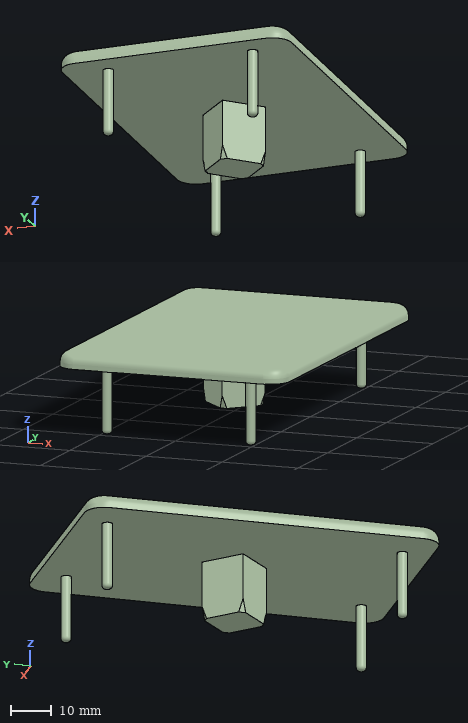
import cadquery as cq

plate_length = 90.0
plate_width = plate_length * 2 / 3
plate_thickness = 4.0
plate_corner_radius = 5.0
plate_edge_radius = 2.7

overall_height = 21.0
pin_length = overall_height - plate_thickness
pin_diameter = 2.6
pin_tip_radius = 1.0
pin_spacing_x = 37.8
pin_spacing_y = 75.1

post_diagonal = 16.4
post_length = 15.0
post_tip_diagonal = 14.6
post_taper_height = 3.3


def make_plate():
    plate = cq.Workplane("XY").box(
        plate_width, plate_length, plate_thickness, centered=(True, True, False)
    )
    plate = plate.edges("|Z").fillet(plate_corner_radius)
    return plate.faces(">Z").edges().fillet(plate_edge_radius)


def make_pins():
    return (
        cq.Workplane("XY")
        .rect(pin_spacing_x, pin_spacing_y, forConstruction=True)
        .vertices()
        .circle(pin_diameter / 2)
        .extrude(-pin_length)
        .faces("<Z")
        .edges()
        .fillet(pin_tip_radius)
    )


def make_post():
    post = cq.Workplane("XY").polygon(4, post_diagonal).extrude(-post_length)
    straight_height = post_length - post_taper_height
    envelope = cq.Workplane("XY").rect(post_diagonal, post_diagonal).extrude(-straight_height)
    tapered_end = (
        cq.Workplane("XY", origin=(0, 0, -straight_height))
        .rect(post_diagonal, post_diagonal)
        .workplane(offset=-post_taper_height)
        .rect(post_tip_diagonal, post_tip_diagonal)
        .loft(combine=True)
    )
    return post.intersect(envelope.union(tapered_end))


result = make_plate().union(make_pins()).union(make_post())